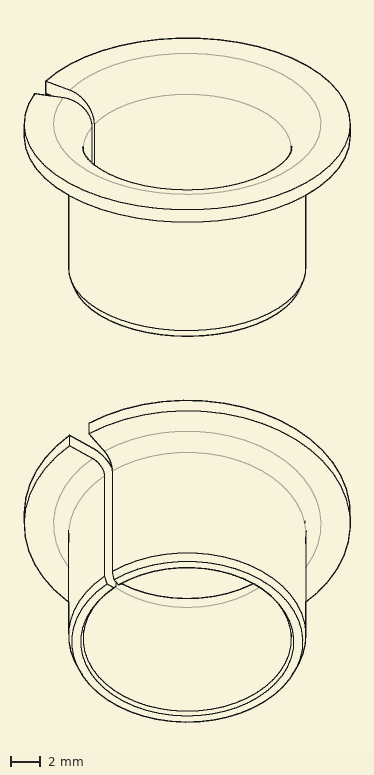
import cadquery as cq
import math

height = 12.0
flange_radius = 10.95
bore_radius = 7.0
wall = 0.99
outer_bend_radius = 1.0

chamfer_height = 0.6
chamfer_angle = 20.0

bore_chamfer_height = 0.28
bore_chamfer_angle = 30.0

split_bore_width = 0.35
split_side_angle = 10.0

tube_radius = bore_radius + wall
inner_bend_radius = outer_bend_radius + wall
bend_center_radius = bore_radius + inner_bend_radius
bend_center_height = height - inner_bend_radius
flange_bottom = height - wall
chamfer_width = chamfer_height * math.tan(math.radians(chamfer_angle))
bore_chamfer_width = bore_chamfer_height * math.tan(math.radians(bore_chamfer_angle))


def make_flanged_sleeve():
    """Revolve the wall section, with its concentric bend, about Z.

    The revolve starts on the -X side, so its seam falls inside the split.
    """
    diagonal = math.sqrt(0.5)
    outer_bend_middle = (
        bend_center_radius - outer_bend_radius * diagonal,
        bend_center_height + outer_bend_radius * diagonal,
    )
    inner_bend_middle = (
        bend_center_radius - inner_bend_radius * diagonal,
        bend_center_height + inner_bend_radius * diagonal,
    )
    section = (
        cq.Workplane("XZ")
        .moveTo(bore_radius, bore_chamfer_height)
        .lineTo(bore_radius + bore_chamfer_width, 0)
        .lineTo(tube_radius - chamfer_width, 0)
        .lineTo(tube_radius, chamfer_height)
        .lineTo(tube_radius, bend_center_height)
        .threePointArc(outer_bend_middle, (bend_center_radius, flange_bottom))
        .lineTo(flange_radius, flange_bottom)
        .lineTo(flange_radius, height)
        .lineTo(bend_center_radius, height)
        .threePointArc(inner_bend_middle, (bore_radius, bend_center_height))
        .close()
    )
    sleeve = section.revolve(360, (0, 0, 0), (0, 1, 0))
    return sleeve.rotate((0, 0, 0), (0, 0, 1), 180)


def make_split_wedge():
    """Full-height wedge on the -X side, with its tip inside the bore."""
    slope = math.tan(math.radians(split_side_angle))
    tip_radius = bore_radius - split_bore_width / 2 / slope
    end_radius = flange_radius + wall
    end_half_width = (end_radius - tip_radius) * slope
    outline = [
        (-tip_radius, 0),
        (-end_radius, end_half_width),
        (-end_radius, -end_half_width),
    ]
    return cq.Workplane("XY").polyline(outline).close().extrude(height)


result = make_flanged_sleeve().cut(make_split_wedge())